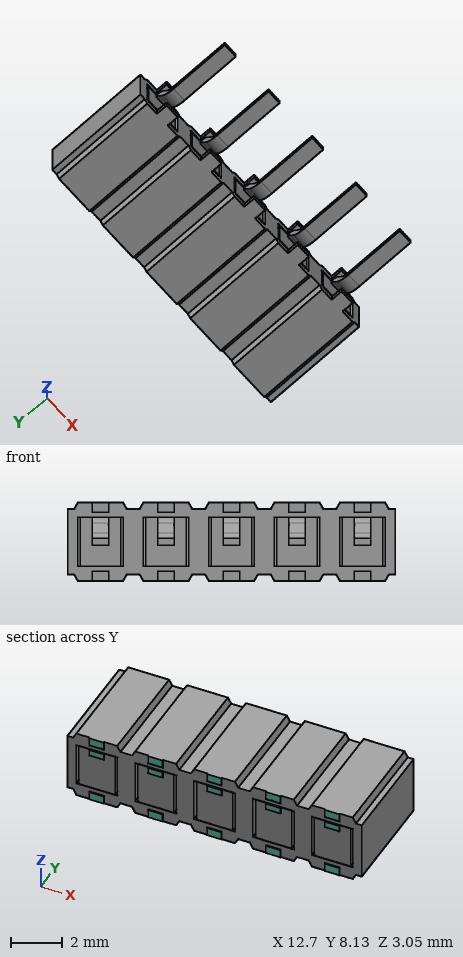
import cadquery as cq
import math


position_count = 5
pitch = 2.54
housing_length = position_count * pitch
housing_height = 3.05
housing_depth = 4.59

groove_depth = 0.25
rib_crest_width = 1.76
rib_root_width = 2.04

window_width = 1.78
window_height = 1.89
window_depth = 0.5
plug_width = 1.56
plug_setback = 0.02

tab_width = 0.64
tab_height = 0.38
tab_length = 0.51

pin_width = 0.64
pin_thickness = 0.28
pin_reach = 3.54
bend_start_depth = 0.02
bend_angle = math.radians(62)
upper_bend_radius = 0.25
lower_bend_radius = 0.52

position_centers = [(i - (position_count - 1) / 2) * pitch for i in range(position_count)]


def front_block(width, height, y_front, y_back, x, z):
    """Box centred on (x, z) and running in Y from y_front to y_back."""
    length = y_back - y_front
    return cq.Workplane("XY").box(width, length, height).translate((x, (y_front + y_back) / 2, z))


def make_housing():
    """Extrude the ribbed cross-section along +Y."""
    crest_z = housing_height / 2
    root_z = crest_z - groove_depth
    top_edge = [(-housing_length / 2, root_z)]
    for x in position_centers:
        top_edge += [
            (x - rib_root_width / 2, root_z),
            (x - rib_crest_width / 2, crest_z),
            (x + rib_crest_width / 2, crest_z),
            (x + rib_root_width / 2, root_z),
        ]
    top_edge.append((housing_length / 2, root_z))
    bottom_edge = [(x, -z) for x, z in reversed(top_edge)]
    return cq.Workplane("XZ").polyline(top_edge + bottom_edge).close().extrude(-housing_depth)


def make_tab(x, side):
    """Stand-off tab flush with the top (side = 1) or bottom (side = -1) of the housing."""
    z = side * (housing_height - tab_height) / 2
    return front_block(tab_width, tab_height, -tab_length, window_depth, x, z)


def make_pin(x):
    """Pin of constant thickness: level stub, S-bend downward, then level tail."""
    half = pin_thickness / 2
    start_z = window_height / 2 - half
    bend_drop = (upper_bend_radius + lower_bend_radius) * (1 - math.cos(bend_angle))
    ramp_length = (start_z - bend_drop) / math.sin(bend_angle)
    bend_run = (upper_bend_radius + lower_bend_radius) * math.sin(bend_angle)
    bend_end_y = bend_start_depth - bend_run - ramp_length * math.cos(bend_angle)

    def upper_bend(offset, angle):
        radius = upper_bend_radius + offset
        center_z = start_z - upper_bend_radius
        return (bend_start_depth - radius * math.sin(angle), center_z + radius * math.cos(angle))

    def lower_bend(offset, angle):
        radius = lower_bend_radius - offset
        return (bend_end_y + radius * math.sin(angle), lower_bend_radius - radius * math.cos(angle))

    middle = bend_angle / 2
    profile = (
        cq.Workplane("YZ")
        .moveTo(window_depth, start_z + half)
        .lineTo(*upper_bend(half, 0))
        .threePointArc(upper_bend(half, middle), upper_bend(half, bend_angle))
        .lineTo(*lower_bend(half, bend_angle))
        .threePointArc(lower_bend(half, middle), lower_bend(half, 0))
        .lineTo(-pin_reach, half)
        .lineTo(-pin_reach, -half)
        .lineTo(*lower_bend(-half, 0))
        .threePointArc(lower_bend(-half, middle), lower_bend(-half, bend_angle))
        .lineTo(*upper_bend(-half, bend_angle))
        .threePointArc(upper_bend(-half, middle), upper_bend(-half, 0))
        .lineTo(window_depth, start_z - half)
        .close()
    )
    return profile.extrude(pin_width / 2, both=True).translate((x, 0, 0))


result = make_housing()
for center_x in position_centers:
    window = front_block(window_width, window_height, 0, window_depth, center_x, 0)
    plug = front_block(plug_width, window_height, plug_setback, window_depth, center_x, 0)
    result = result.cut(window).union(plug)
    result = result.union(make_tab(center_x, 1)).union(make_tab(center_x, -1))
    result = result.union(make_pin(center_x))